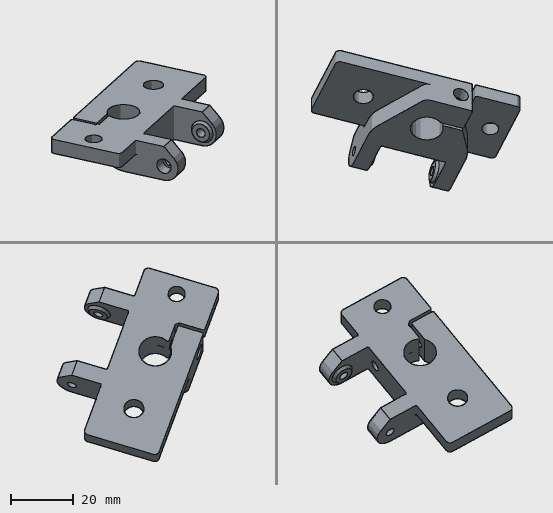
import cadquery as cq
import math

plate_width = 25.0
plate_length = 62.5
plate_thickness = 5.0
height = 12.0
plate_bottom = height - plate_thickness
plate_corner_radius = 1.5
edge_radius = 0.5

hole_x = plate_width / 2
clamp_bore_y = 27.5
clamp_bore_diameter = 10.4
rear_hole_y = 49.0
rear_hole_diameter = 6.4
front_hole_y = 6.0
front_hole_diameter = 5.4

lug_thickness = 5.5
lug_half_span = 16.5
lug_front = clamp_bore_y - lug_half_span
lug_back = clamp_bore_y + lug_half_span
lug_radius = 5.0
pin_x = 35.0
pin_z = lug_radius
pin_diameter = 3.0
boss_height = 1.0
boss_base_diameter = 7.6
boss_tip_diameter = 6.2

slot_width = 1.0
slot_right = 9.5
slot_left = slot_right - slot_width
slot_back = lug_front + lug_thickness
slot_front = slot_back - slot_width

slope_end_x = 19.0
back_slope_start_y = 32.4
block_corner_radius = 2.5
slope_blend_radius = 10.0

screw_y = 20.5
screw_z = height / 2
screw_diameter = 3.5
insert_diameter = 4.7
insert_mouth_diameter = 5.0
lug_mouth_depth = 0.6
jaw_mouth_depth = 1.0
insert_depth = 4.0


def vertical_edges(body, points, radius):
    """Round the vertical edges standing at the given (x, y) points."""
    reach = 0.05
    for x, y in points:
        selector = cq.selectors.BoxSelector(
            (x - reach, y - reach, -reach), (x + reach, y + reach, height + reach)
        )
        body = body.edges("|Z").edges(selector).fillet(radius)
    return body


def make_plate():
    plate = cq.Workplane("XY").workplane(offset=plate_bottom)
    plate = plate.rect(plate_width, plate_length).extrude(plate_thickness)
    plate = plate.edges("|Z").fillet(plate_corner_radius)
    return plate.translate((plate_width / 2, plate_length / 2, 0))


def make_block():
    block = (
        cq.Workplane("XY")
        .moveTo(0, slot_back)
        .lineTo(slot_right, slot_back)
        .lineTo(slope_end_x, lug_front)
        .lineTo(plate_width, lug_front)
        .lineTo(plate_width, lug_back)
        .lineTo(slope_end_x, lug_back)
        .lineTo(0, back_slope_start_y)
        .close()
        .extrude(plate_bottom)
    )
    block = vertical_edges(block, [(0, back_slope_start_y)], block_corner_radius)
    slope_ends = [(slope_end_x, lug_front), (slope_end_x, lug_back)]
    return vertical_edges(block, slope_ends, slope_blend_radius)


def make_lug(front_y):
    """Lug with a round end and a sloped flat tangent to it."""
    tangent_angle = math.acos(lug_radius / (height - pin_z))
    tangent_x = pin_x + lug_radius * math.sin(tangent_angle)
    tangent_z = pin_z + lug_radius * math.cos(tangent_angle)
    lug_start_x = plate_width - edge_radius
    return (
        cq.Workplane("XZ", origin=(0, front_y + lug_thickness, 0))
        .moveTo(lug_start_x, 0)
        .lineTo(pin_x, 0)
        .threePointArc((pin_x + lug_radius, pin_z), (tangent_x, tangent_z))
        .lineTo(pin_x, height)
        .lineTo(lug_start_x, height)
        .close()
        .extrude(lug_thickness)
    )


def make_cone(start, direction, base_diameter, tip_diameter, length):
    return cq.Workplane(
        cq.Solid.makeCone(
            base_diameter / 2, tip_diameter / 2, length, cq.Vector(*start), cq.Vector(*direction)
        )
    )


def make_bore(start, direction, diameter, length):
    return cq.Workplane(
        cq.Solid.makeCylinder(diameter / 2, length, cq.Vector(*start), cq.Vector(*direction))
    )


def make_insert_pocket(start, direction, mouth_depth):
    """Blind pocket with a slightly tapered mouth."""
    mouth = make_cone(start, direction, insert_mouth_diameter, insert_diameter, mouth_depth)
    return mouth.union(make_bore(start, direction, insert_diameter, insert_depth))


def make_slot():
    """Slot from the left side, turning at a chamfered corner into the clamp bore."""
    return (
        cq.Workplane("XY")
        .moveTo(0, slot_front)
        .lineTo(slot_left, slot_front)
        .lineTo(slot_right, slot_back)
        .lineTo(slot_right, clamp_bore_y)
        .lineTo(slot_left, clamp_bore_y)
        .lineTo(slot_left, slot_back)
        .lineTo(0, slot_back)
        .close()
        .extrude(height)
    )


front_lug_y = lug_front
back_lug_y = lug_back - lug_thickness
body = make_plate().union(make_block())
for lug_y in (front_lug_y, back_lug_y):
    body = body.union(make_lug(lug_y))
body = body.clean()

lug_roots = [
    (plate_width, y + side) for y in (front_lug_y, back_lug_y) for side in (0, lug_thickness)
]
body = vertical_edges(body, lug_roots, edge_radius)

for y, diameter in (
    (clamp_bore_y, clamp_bore_diameter),
    (rear_hole_y, rear_hole_diameter),
    (front_hole_y, front_hole_diameter),
):
    body = body.cut(make_bore((hole_x, y, 0), (0, 0, 1), diameter, height))
body = body.cut(make_slot())

bore_radius = clamp_bore_diameter / 2
tongue_tip_y = clamp_bore_y - math.sqrt(bore_radius**2 - (hole_x - slot_right) ** 2)
slot_corners = [
    (0, slot_front),
    (0, slot_back),
    (slot_left, slot_back),
    (slot_right, tongue_tip_y),
]
body = vertical_edges(body, slot_corners, edge_radius)

for start_y, direction in ((slot_back, 1), (back_lug_y, -1)):
    boss = make_cone(
        (pin_x, start_y, pin_z),
        (0, direction, 0),
        boss_base_diameter,
        boss_tip_diameter,
        boss_height,
    )
    body = body.union(boss)

pin_start = (pin_x, lug_front, pin_z)
body = body.cut(make_bore(pin_start, (0, 1, 0), pin_diameter, lug_back - lug_front))
body = body.cut(make_insert_pocket(pin_start, (0, 1, 0), lug_mouth_depth))

screw_start = (0, screw_y, screw_z)
body = body.cut(make_bore(screw_start, (1, 0, 0), screw_diameter, plate_width))
body = body.cut(make_insert_pocket(screw_start, (1, 0, 0), jaw_mouth_depth))

result = body